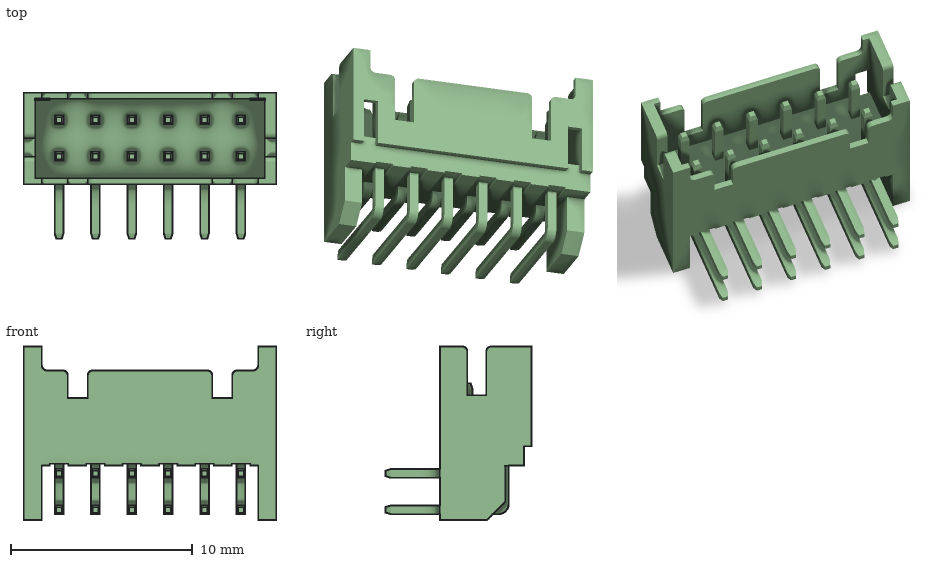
import cadquery as cq
import math


length = 13.9
depth = 5.05
height = 9.56

end_wall = 0.63
side_wall = 0.33
cavity_depth = 5.05
cavity_length = length - 2 * end_wall
cavity_floor = height - cavity_depth

leg_width = 1.0
underside = height - 6.56
step_height = height - 5.5
step_inset = 0.42
leg_inset = 1.46
leg_chamfer = 1.0

corner_radius = 0.29
shoulder_drop = 1.32
notch_inner = 3.43
notch_outer = 4.52
front_notch_bottom = height - 2.84
back_notch_bottom = height - 3.99
slot_front = depth - 3.53
slot_back = depth - 2.5
slot_bottom = height - 2.68
window_width = 0.8
window_top = height - 3.0

pins_per_row = 6
pitch = 2.0
pin_size = 0.5
pin_top = height - 2.03
tip_length = 0.3
tip_inset = 0.1
bend_inner_radius = 0.1
bend_outer_radius = bend_inner_radius + pin_size
tail_reach = 3.0
back_row_y = depth - 1.5
back_tail_z = height - 9.0
relief_width = 1.0
relief_depth = 0.1

pin_positions = [(i - (pins_per_row - 1) / 2) * pitch for i in range(pins_per_row)]


def box(x_range, y_range, z_range):
    """Axis-aligned block spanning the three given (low, high) ranges."""
    lows, highs = zip(x_range, y_range, z_range)
    sizes = [high - low for low, high in zip(lows, highs)]
    return cq.Workplane("XY").box(*sizes, centered=False).translate(lows)


def housing_block():
    """End profile with the stepped back and chamfered foot, run along the whole length."""
    leg_back = depth - leg_inset
    return (
        cq.Workplane("YZ", origin=(-length / 2, 0, 0))
        .lineTo(leg_back - leg_chamfer, 0)
        .lineTo(leg_back, leg_chamfer)
        .lineTo(leg_back, underside)
        .lineTo(depth - step_inset, underside)
        .lineTo(depth - step_inset, step_height)
        .lineTo(depth, step_height)
        .lineTo(depth, height)
        .lineTo(0, height)
        .close()
        .extrude(length)
    )


def leg_gap():
    """Space between the legs, with a shallow relief groove above each pin column."""
    half_gap = length / 2 - leg_width
    gap = box((-half_gap, half_gap), (0, depth), (0, underside))
    for x in pin_positions:
        groove_x = (x - relief_width / 2, x + relief_width / 2)
        gap = gap.union(box(groove_x, (0, depth), (0, underside + relief_depth)))
    return gap


def rim_cut():
    """Lowered rim of both long walls with two deeper notches in each wall."""
    r = corner_radius
    half_rim = length / 2 - leg_width
    shoulder = height - shoulder_drop
    recess = box((-half_rim, half_rim), (0, depth), (shoulder, height))
    cut = recess.edges("|Y and <Z").fillet(r)
    wall_notches = ((side_wall, front_notch_bottom), (depth, back_notch_bottom))
    for wall_back, notch_bottom in wall_notches:
        for side in (-1, 1):
            notch = (
                cq.Workplane("XZ", origin=(0, wall_back, 0))
                .moveTo(side * notch_inner, notch_bottom)
                .lineTo(side * notch_inner, shoulder - r)
                .radiusArc((side * (notch_inner - r), shoulder), -side * r)
                .lineTo(side * (notch_outer + r), shoulder)
                .radiusArc((side * notch_outer, shoulder - r), -side * r)
                .lineTo(side * notch_outer, notch_bottom)
                .close()
                .extrude(side_wall)
            )
            cut = cut.union(notch)
    return cut


def end_slot_cut():
    """Slot with rounded mouth, cut down through both end walls."""
    r = corner_radius
    return (
        cq.Workplane("YZ", origin=(-length / 2, 0, 0))
        .moveTo(slot_front, slot_bottom)
        .lineTo(slot_front, height - r)
        .radiusArc((slot_front - r, height), -r)
        .lineTo(slot_back + r, height)
        .radiusArc((slot_back, height - r), -r)
        .lineTo(slot_back, slot_bottom)
        .close()
        .extrude(length)
    )


def back_windows():
    """Openings through the back wall at the cavity's ends, from the step upwards."""
    outer = cavity_length / 2
    inner = outer - window_width
    y_range = (depth - step_inset, depth)
    z_range = (step_height, window_top)
    return box((-outer, -inner), y_range, z_range).union(box((inner, outer), y_range, z_range))


def make_housing():
    half_cavity = cavity_length / 2
    cavity = box(
        (-half_cavity, half_cavity),
        (side_wall, depth - side_wall),
        (cavity_floor, height),
    )
    housing = housing_block()
    for cut in (cavity, leg_gap(), rim_cut(), end_slot_cut(), back_windows()):
        housing = housing.cut(cut)
    return housing


def make_pin(row_y, tail_z):
    """Square pin at X = 0, bent from upright to a tail that points forward, tapered at both ends."""
    half = pin_size / 2
    back, front = row_y + half, row_y - half
    bottom, top = tail_z - half, tail_z + half
    upright_end = pin_top - tip_length
    tail_end = -tail_reach + tip_length
    taper = math.degrees(math.atan(tip_inset / tip_length))

    shank = (
        cq.Workplane("YZ", origin=(-half, 0, 0))
        .moveTo(tail_end, bottom)
        .lineTo(back - bend_outer_radius, bottom)
        .radiusArc((back, bottom + bend_outer_radius), -bend_outer_radius)
        .lineTo(back, upright_end)
        .lineTo(front, upright_end)
        .lineTo(front, top + bend_inner_radius)
        .radiusArc((front - bend_inner_radius, top), bend_inner_radius)
        .lineTo(tail_end, top)
        .close()
        .extrude(pin_size)
    )
    upper_tip = (
        cq.Workplane("XY", origin=(0, row_y, upright_end))
        .rect(pin_size, pin_size)
        .extrude(tip_length, taper=taper)
    )
    tail_tip = (
        cq.Workplane("XZ", origin=(0, tail_end, tail_z))
        .rect(pin_size, pin_size)
        .extrude(tip_length, taper=taper)
    )
    return shank.union(upper_tip).union(tail_tip)


result = make_housing()
back_pin = make_pin(back_row_y, back_tail_z)
front_pin = make_pin(back_row_y - pitch, back_tail_z + pitch)
for pin_x in pin_positions:
    for pin in (back_pin, front_pin):
        result = result.union(pin.translate((pin_x, 0, 0)))